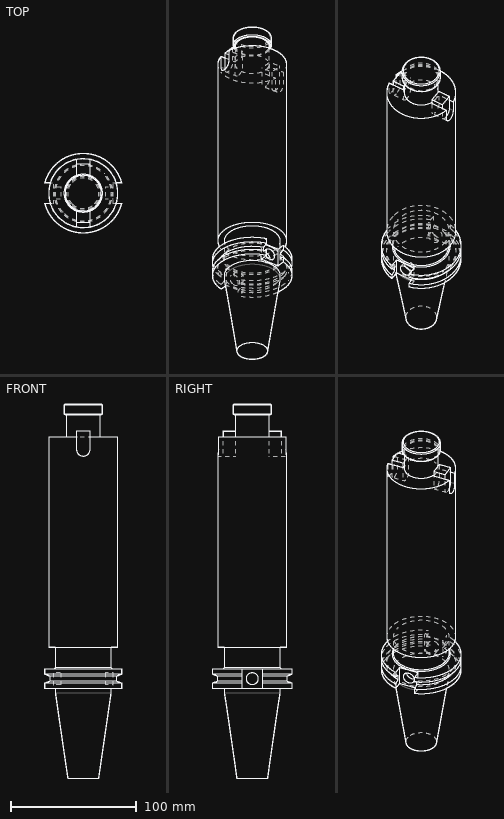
import cadquery as cq

total_height = 298.3
gauge_z = 68.0
flange_bottom_z = 71.5
flange_top_z = 87.5
body_bottom_z = 104.5
body_top_z = 272.0
head_bottom_z = 289.5

neck_diameter = 44.5
neck_radius = neck_diameter / 2
flange_diameter = 63.5
flange_radius = flange_diameter / 2
body_radius = 27.5
spigot_radius = 13.5
head_radius = 15.2
head_chamfer = 1.0
neck_chamfer = 1.0
taper_ratio = 7 / 24
tip_radius = neck_radius - gauge_z * taper_ratio / 2

groove_radius = 27.7
groove_z = (flange_bottom_z + flange_top_z) / 2
groove_floor_width = 4.0
groove_mouth_width = 7.2

notch_width = 16.5
notch_floor_x = 23.5
notch_hole_diameter = 9.5
notch_hole_depth = 6.0

key_width = 10.5
key_top_z = 276.5
key_bottom_z = 256.5
key_outer_y = 23.3
key_inner_y = spigot_radius


def revolve_profile(points):
    """Turn a closed (radius, z) outline around the Z axis."""
    return cq.Workplane("XZ").polyline(points).close().revolve(360, (0, 0, 0), (0, 1, 0))


def make_key_block(outer_y, top_z):
    """Round-bottomed block on the -Y side, from the spigot out to outer_y."""
    half_width = key_width / 2
    arc_center_z = key_bottom_z + half_width
    return (
        cq.Workplane("XZ", origin=(0, -key_inner_y, 0))
        .moveTo(-half_width, top_z)
        .lineTo(-half_width, arc_center_z)
        .threePointArc((0, key_bottom_z), (half_width, arc_center_z))
        .lineTo(half_width, top_z)
        .close()
        .extrude(outer_y - key_inner_y)
    )


def make_notch_cutter():
    """Flange notch and its radial hole on the -X side."""
    notch_depth = flange_radius - notch_floor_x
    flange_height = flange_top_z - flange_bottom_z
    notch = cq.Workplane("XY").box(notch_depth, notch_width, flange_height).translate(
        (-notch_floor_x - notch_depth / 2, 0, groove_z)
    )
    hole = (
        cq.Workplane("YZ", origin=(-notch_floor_x, 0, groove_z))
        .circle(notch_hole_diameter / 2)
        .extrude(notch_hole_depth)
    )
    return notch.union(hole)


def make_holder():
    """Taper, grooved flange, neck, body and spigot, with key slots and notches."""
    holder = revolve_profile([
        (0, 0),
        (tip_radius, 0),
        (neck_radius, gauge_z),
        (neck_radius, flange_bottom_z),
        (flange_radius, flange_bottom_z),
        (flange_radius, groove_z - groove_mouth_width / 2),
        (groove_radius, groove_z - groove_floor_width / 2),
        (groove_radius, groove_z + groove_floor_width / 2),
        (flange_radius, groove_z + groove_mouth_width / 2),
        (flange_radius, flange_top_z),
        (neck_radius + neck_chamfer, flange_top_z),
        (neck_radius, flange_top_z + neck_chamfer),
        (neck_radius, body_bottom_z),
        (body_radius, body_bottom_z),
        (body_radius, body_top_z),
        (spigot_radius, body_top_z),
        (spigot_radius, head_bottom_z),
        (0, head_bottom_z),
    ])
    key_slot = make_key_block(body_radius, body_top_z)
    notch = make_notch_cutter()
    for angle in (0, 180):
        holder = holder.cut(key_slot.rotate((0, 0, 0), (0, 0, 1), angle))
        holder = holder.cut(notch.rotate((0, 0, 0), (0, 0, 1), angle))
    return holder


def make_key(angle):
    """Drive key, turned about Z to its slot."""
    return make_key_block(key_outer_y, key_top_z).rotate((0, 0, 0), (0, 0, 1), angle)


def make_screw_head():
    """Chamfered clamping screw head resting on the end of the spigot."""
    return (
        cq.Workplane("XY", origin=(0, 0, head_bottom_z))
        .circle(head_radius)
        .extrude(total_height - head_bottom_z)
        .edges()
        .chamfer(head_chamfer)
    )


holder = make_holder()
keys = [make_key(angle) for angle in (0, 180)]
screw_head = make_screw_head()

result = cq.Compound.makeCompound(
    [holder.val(), *[key.val() for key in keys], screw_head.val()]
)